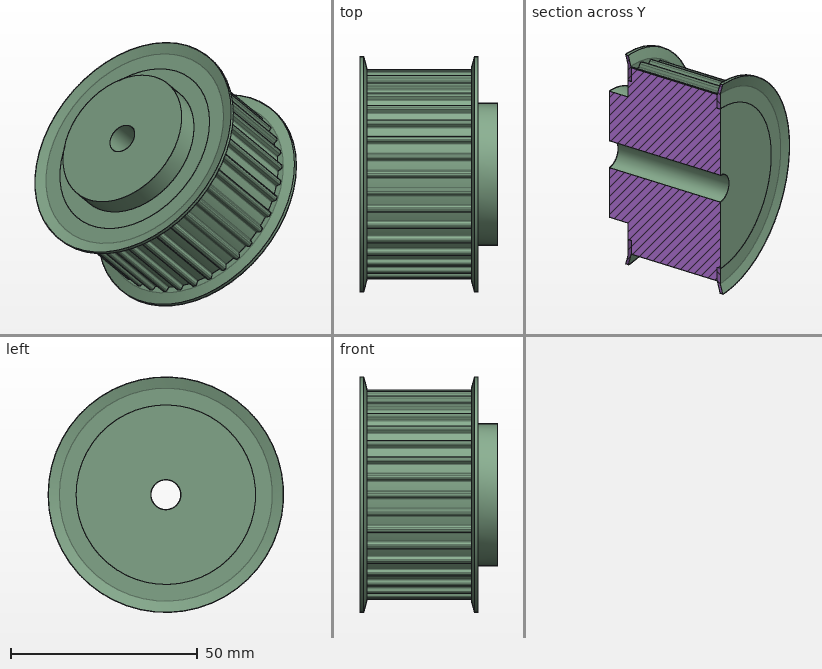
import cadquery as cq
import math


core_width = 30.0
hub_length = 6.0
hub_radius = 19.0
bore_radius = 4.0
seat_radius = 24.0

tooth_count = 36
tip_radius = 28.05
root_radius = 26.8
tooth_root_width = 2.0
flank_angle = 18
tip_rounding = 0.45
root_rounding = 0.2

flange_thickness = 1.0
flange_radius = 31.5
dish_radius = 28.5
dish_depth = 0.8

tooth_height = tip_radius - root_radius
tooth_tip_width = tooth_root_width - 2 * tooth_height * math.tan(math.radians(flank_angle))
tooth_pitch_angle = 2 * math.pi / tooth_count
toothed_width = core_width - 2 * flange_thickness


def polar(radius, angle):
    """Point in the YZ plane at an angle in radians from +Y."""
    return (radius * math.cos(angle), radius * math.sin(angle))


def tooth_outline():
    """Closed outline of the toothed rim: straight flanks, round tips and round gap floors."""
    root_half_angle = math.asin(tooth_root_width / 2 / root_radius)
    tip_half_angle = math.asin(tooth_tip_width / 2 / tip_radius)
    outline = cq.Workplane("YZ", origin=(flange_thickness, 0, 0))
    outline = outline.moveTo(*polar(root_radius, -root_half_angle))
    for tooth in range(tooth_count):
        middle = tooth * tooth_pitch_angle
        next_gap = middle + tooth_pitch_angle / 2
        next_tooth = middle + tooth_pitch_angle
        outline = (
            outline
            .lineTo(*polar(tip_radius, middle - tip_half_angle))
            .threePointArc(polar(tip_radius, middle), polar(tip_radius, middle + tip_half_angle))
            .lineTo(*polar(root_radius, middle + root_half_angle))
            .threePointArc(polar(root_radius, next_gap), polar(root_radius, next_tooth - root_half_angle))
        )
    return outline.close()


def distance_from_axis(edge):
    """Distance from the X axis to the middle of an edge."""
    middle = edge.Center()
    return math.hypot(middle.y, middle.z)


def round_teeth(rim):
    """Round the lengthwise edges where the flanks meet the tips and the gap floors."""
    middle_radius = (tip_radius + root_radius) / 2
    root_edges = rim.edges("|X").filter(lambda edge: distance_from_axis(edge) < middle_radius)
    rim = root_edges.fillet(root_rounding)
    tip_edges = rim.edges("|X").filter(lambda edge: distance_from_axis(edge) > middle_radius)
    return tip_edges.fillet(tip_rounding)


def make_core():
    """Toothed rim, flange seats and hub in one piece, with a through bore."""
    rim = round_teeth(tooth_outline().extrude(toothed_width))
    seats = cq.Workplane("YZ").circle(seat_radius).extrude(core_width)
    hub = cq.Workplane("YZ", origin=(core_width, 0, 0)).circle(hub_radius).extrude(hub_length)
    bore = cq.Workplane("YZ").circle(bore_radius).extrude(core_width + hub_length)
    return rim.union(seats).union(hub).cut(bore)


def make_flange(outer_face, outward):
    """Dished ring whose web has its outer face at X = outer_face; outward is -1 or 1."""
    inner_face = outer_face - outward * flange_thickness
    lean = outward * dish_depth
    profile = cq.Workplane("XY").polyline([
        (outer_face, seat_radius),
        (outer_face, dish_radius),
        (outer_face + lean, flange_radius),
        (inner_face + lean, flange_radius),
        (inner_face, dish_radius),
        (inner_face, seat_radius),
    ]).close()
    return profile.revolve(360, (0, 0, 0), (1, 0, 0))


core = make_core()
flanges = []
for outer_face, outward in [(0, -1), (core_width, 1)]:
    flanges.append(make_flange(outer_face, outward).val())

result = cq.Compound.makeCompound([core.val(), *flanges])